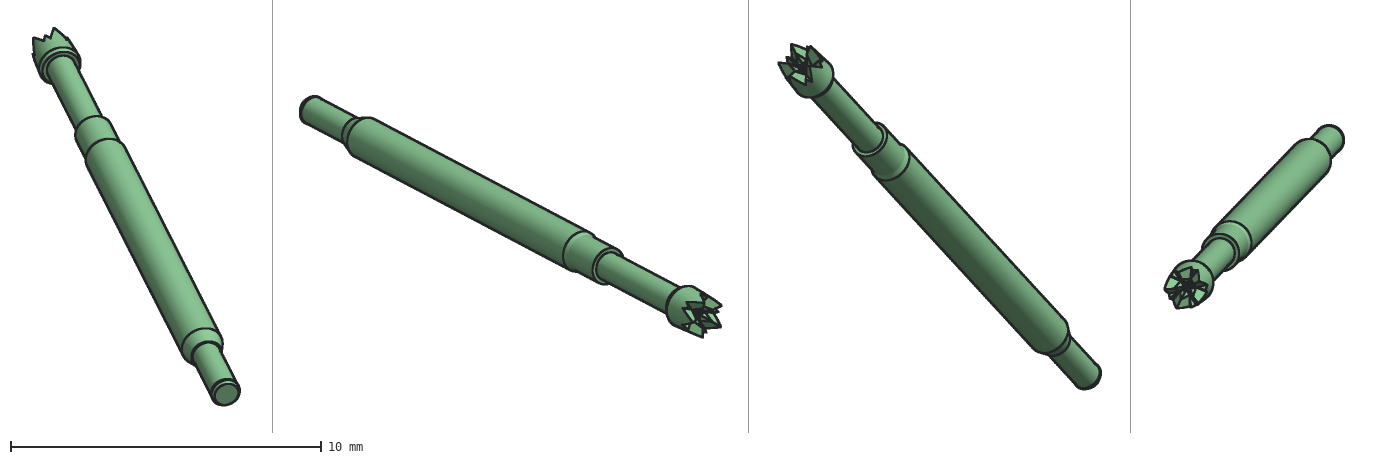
import cadquery as cq

length = 22.1
head_rim = 1.33
head_end = 1.48
sleeve_start = 5.55
sleeve_end = 6.9
barrel_start = 7.1
barrel_end = 19.07
shoulder_end = 19.6
lip_start = 21.92
lip_chamfer = 0.1

crown_diameter = 1.25
head_diameter = 1.4
head_back_diameter = 1.24
plunger_diameter = 0.95
sleeve_diameter = 1.24
barrel_diameter = 1.37
shoulder_diameter = 1.02
tail_diameter = 0.93
lip_diameter = 0.95
lip_end_diameter = 0.8

groove_count = 5
groove_depth = 0.6
groove_width = 0.53
groove_offset = 0.09
first_groove_angle = 38.5


def turned_body():
    """Solid of revolution about X, from (axial position, diameter) corners."""
    corners = [
        (0, crown_diameter),
        (head_rim, head_diameter),
        (head_end, head_back_diameter),
        (head_end, plunger_diameter),
        (sleeve_start, plunger_diameter),
        (sleeve_start, sleeve_diameter),
        (sleeve_end, sleeve_diameter),
        (barrel_start, barrel_diameter),
        (barrel_end, barrel_diameter),
        (shoulder_end, shoulder_diameter),
        (shoulder_end, tail_diameter),
        (lip_start, tail_diameter),
        (lip_start, lip_diameter),
        (length - lip_chamfer, lip_diameter),
        (length, lip_end_diameter),
    ]
    profile = cq.Workplane("XY").moveTo(0, 0)
    for position, diameter in corners:
        profile = profile.lineTo(position, diameter / 2)
    return profile.lineTo(length, 0).close().revolve(360, (0, 0, 0), (1, 0, 0))


def crown_groove(angle):
    """V groove right across the crown, turned about X; its sides run on past the tips."""
    mouth = -groove_depth
    mouth_half_width = groove_width
    return (
        cq.Workplane("XY")
        .polyline([
            (groove_depth, groove_offset),
            (mouth, groove_offset + mouth_half_width),
            (mouth, groove_offset - mouth_half_width),
        ])
        .close()
        .extrude(head_diameter, both=True)
        .rotate((0, 0, 0), (1, 0, 0), angle)
    )


result = turned_body()
for index in range(groove_count):
    result = result.cut(crown_groove(first_groove_angle + index * 360 / groove_count))

result = result.translate((-length / 2, 0, 0))